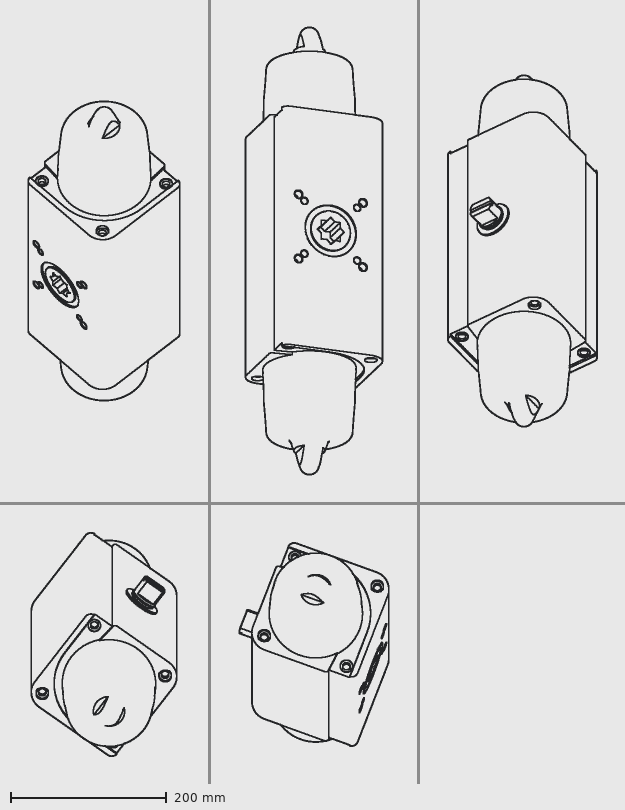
import cadquery as cq
import math


LENGTH = 613.0
BLOCK_HALF = 163.5
NEAR_FACE = 69.0
FAR_FACE = 78.5
LEDGE_FACE = 64.5
LEDGE_START = 41.5
LEDGE_WALL_REACH = 39.0
LEDGE_WALL_END = 45.0
LARGE_CORNER = 24.5
SMALL_CORNER = 8.5
LEDGE_ROUND = 3.5

RECESS_DEPTH = 3.5
RECESS_RADIUS = 70.5

SCREW_PITCH = 113.0
BLOCK_CENTRE = 5.0
SCREW_BORE = 16.0
SCREW_BORE_DEPTH = 5.0
SCREW_SOCKET = 10.0
SCREW_SOCKET_DEPTH = 12.0

CAP_ROOT_Z = 156.5
CAP_BASE_RADIUS = 60.0
CAP_MIDDLE_RADIUS = 59.0
CAP_SHOULDER_RADIUS = 56.0
CAP_FLAT_RADIUS = 48.5
CAP_MIDDLE_Z = 206.5
CAP_SHOULDER_Z = 248.0
CAP_TOP_Z = 255.5
FLARE_RADIUS = 35.0
TIP_FOOT_RADIUS = 24.0
TIP_FOOT_Z = 263.0
TIP_END_RADIUS = 11.5
TIP_END_Z = 298.5
TIP_FLAT_HALF = 13.0
TIP_FLAT_Z = 274.0

OUTER_HOLE_DIAMETER = 10.0
OUTER_HOLE_MOUTH = 11.5
OUTER_HOLE_OFFSET = 44.0
INNER_HOLE_DIAMETER = 8.5
INNER_HOLE_MOUTH = 10.0
INNER_HOLE_OFFSET = 36.0
MOUNT_HOLE_DEPTH = 15.5

SEAT_DIAMETER = 70.0
SEAT_DEPTH = 2.5
PINION_DIAMETER = 54.0
PINION_STEP_Y = 0.0
COLLAR_DIAMETER = 48.0
COLLAR_Y = 72.0
RING_DIAMETER = 35.0
RING_THICKNESS = 1.0
RING_Y = 76.0
STEM_DIAMETER = 32.5
FLATS_Y = 79.0
STEM_Y = 99.0
STEM_FLAT_HALF = 10.5
SLOT_WIDTH = 5.0
SLOT_DEPTH = 3.5
SOCKET_SIDE = 26.0
SOCKET_DEPTH = 37.0

LEDGE_WALL_SLOPE = (LEDGE_WALL_END - LEDGE_START) / (NEAR_FACE - LEDGE_WALL_REACH)
LEDGE_FOOT = LEDGE_START + (NEAR_FACE - LEDGE_FACE) * LEDGE_WALL_SLOPE

ROOT_HALF = math.sqrt(0.5)


def block():
    """Prism with two set-back ledges and all its long corners rounded."""
    prism = (
        cq.Workplane("XY", origin=(0, 0, -BLOCK_HALF))
        .moveTo(-NEAR_FACE, -LEDGE_START)
        .lineTo(-NEAR_FACE, NEAR_FACE)
        .lineTo(LEDGE_START, NEAR_FACE)
        .lineTo(LEDGE_FOOT, LEDGE_FACE)
        .lineTo(FAR_FACE, LEDGE_FACE)
        .lineTo(FAR_FACE, -FAR_FACE)
        .lineTo(-LEDGE_FACE, -FAR_FACE)
        .lineTo(-LEDGE_FACE, -LEDGE_FOOT)
        .close()
        .extrude(2 * BLOCK_HALF)
    )

    corners = [
        (-NEAR_FACE, NEAR_FACE, LARGE_CORNER),
        (FAR_FACE, -FAR_FACE, LARGE_CORNER),
        (FAR_FACE, LEDGE_FACE, SMALL_CORNER),
        (-LEDGE_FACE, -FAR_FACE, SMALL_CORNER),
        (LEDGE_START, NEAR_FACE, LEDGE_ROUND),
        (-NEAR_FACE, -LEDGE_START, LEDGE_ROUND),
    ]
    for x, y, radius in corners:
        nearest = cq.selectors.NearestToPointSelector((x, y, 0))
        prism = prism.edges("|Z").edges(nearest).fillet(radius)
    return prism


def end_recess():
    """Band around the +X, -Y side of the cartridge, open at both ledges."""
    arc = RECESS_RADIUS * ROOT_HALF
    return (
        cq.Workplane("XY", origin=(0, 0, BLOCK_HALF - RECESS_DEPTH))
        .moveTo(LEDGE_FOOT, LEDGE_FACE)
        .lineTo(RECESS_RADIUS, LEDGE_FACE)
        .lineTo(RECESS_RADIUS, 0)
        .threePointArc((arc, -arc), (0, -RECESS_RADIUS))
        .lineTo(-LEDGE_FACE, -RECESS_RADIUS)
        .lineTo(-LEDGE_FACE, -LEDGE_FOOT)
        .lineTo(-LEDGE_WALL_REACH, -LEDGE_WALL_END)
        .lineTo(LEDGE_WALL_END, LEDGE_WALL_REACH)
        .close()
        .extrude(RECESS_DEPTH)
    )


def end_screw_holes():
    def bores(diameter, depth):
        return (
            cq.Workplane("XY", origin=(BLOCK_CENTRE, -BLOCK_CENTRE, BLOCK_HALF))
            .rect(SCREW_PITCH, SCREW_PITCH, forConstruction=True)
            .vertices()
            .circle(diameter / 2)
            .extrude(-depth)
        )

    return bores(SCREW_BORE, SCREW_BORE_DEPTH).union(bores(SCREW_SOCKET, SCREW_SOCKET_DEPTH))


def cartridge():
    """Spring cap and its flatted, dome-ended tip at the +Z end."""
    cap_round = 1 - ROOT_HALF
    shoulder_mid = (
        CAP_SHOULDER_RADIUS - (CAP_SHOULDER_RADIUS - CAP_FLAT_RADIUS) * cap_round,
        CAP_TOP_Z - (CAP_TOP_Z - CAP_SHOULDER_Z) * cap_round,
    )

    tip_z = LENGTH / 2
    dome_height = tip_z - TIP_END_Z
    dome_radius = (TIP_END_RADIUS**2 + dome_height**2) / (2 * dome_height)
    half_angle = math.asin(TIP_END_RADIUS / dome_radius) / 2
    dome_mid = (
        dome_radius * math.sin(half_angle),
        tip_z - dome_radius * (1 - math.cos(half_angle)),
    )
    cone_slope = (TIP_END_RADIUS - TIP_FOOT_RADIUS, TIP_END_Z - TIP_FOOT_Z)
    body = (
        cq.Workplane("XZ")
        .moveTo(0, CAP_ROOT_Z)
        .lineTo(CAP_BASE_RADIUS, CAP_ROOT_Z)
        .lineTo(CAP_BASE_RADIUS, BLOCK_HALF)
        .lineTo(CAP_MIDDLE_RADIUS, CAP_MIDDLE_Z)
        .lineTo(CAP_SHOULDER_RADIUS, CAP_SHOULDER_Z)
        .threePointArc(shoulder_mid, (CAP_FLAT_RADIUS, CAP_TOP_Z))
        .lineTo(FLARE_RADIUS, CAP_TOP_Z)
        .spline([(TIP_FOOT_RADIUS, TIP_FOOT_Z)], tangents=[(-1, 0), cone_slope], includeCurrent=True)
        .lineTo(TIP_END_RADIUS, TIP_END_Z)
        .threePointArc(dome_mid, (0, tip_z))
        .close()
        .revolve(360, (0, 0, 0), (0, 1, 0))
    )
    for side in (-1, 1):
        flat = cq.Workplane("XY").box(
            TIP_FOOT_RADIUS, 2 * TIP_FOOT_RADIUS, tip_z - TIP_FLAT_Z, centered=(True, True, False)
        )
        body = body.cut(flat.translate((side * (TIP_FLAT_HALF + TIP_FOOT_RADIUS / 2), 0, TIP_FLAT_Z)))
    return body


def disc(diameter, y_from, y_to):
    """Cylinder on the pinion axis between two Y positions."""
    return (
        cq.Workplane("XZ", origin=(0, y_from, 0))
        .circle(diameter / 2)
        .extrude(y_from - y_to)
    )


def mounting_holes(diameter, mouth, offset):
    """Four chamfered blind holes on the corners of a square around the pinion."""
    chamfer = (mouth - diameter) / 2
    hole = (
        cq.Workplane("XY", origin=(0, -FAR_FACE, 0))
        .lineTo(mouth / 2, 0)
        .lineTo(diameter / 2, chamfer)
        .lineTo(diameter / 2, MOUNT_HOLE_DEPTH)
        .lineTo(0, MOUNT_HOLE_DEPTH)
        .close()
        .revolve(360, (0, 0, 0), (0, 1, 0))
    )
    return [hole.translate((x * offset, 0, z * offset)) for x in (-1, 1) for z in (-1, 1)]


def make_housing():
    housing = block()
    for cutter in (end_recess(), end_screw_holes()):
        housing = housing.cut(cutter).cut(cutter.mirror("XY"))
    cap = cartridge()
    housing = housing.union(cap).union(cap.mirror("XY"))

    outer_holes = mounting_holes(OUTER_HOLE_DIAMETER, OUTER_HOLE_MOUTH, OUTER_HOLE_OFFSET)
    inner_holes = mounting_holes(INNER_HOLE_DIAMETER, INNER_HOLE_MOUTH, INNER_HOLE_OFFSET)
    for hole in outer_holes + inner_holes:
        housing = housing.cut(hole)
    housing = housing.cut(disc(SEAT_DIAMETER, -FAR_FACE, -FAR_FACE + SEAT_DEPTH))
    housing = housing.cut(disc(PINION_DIAMETER, -FAR_FACE, PINION_STEP_Y))
    return housing.cut(disc(STEM_DIAMETER, PINION_STEP_Y, NEAR_FACE))


def make_pinion():
    pinion = disc(PINION_DIAMETER, -FAR_FACE, PINION_STEP_Y)
    pinion = pinion.union(disc(STEM_DIAMETER, PINION_STEP_Y, STEM_Y))
    pinion = pinion.union(disc(COLLAR_DIAMETER, NEAR_FACE, COLLAR_Y))
    pinion = pinion.union(disc(RING_DIAMETER, RING_Y - RING_THICKNESS, RING_Y))

    flats_length = STEM_Y - FLATS_Y
    for side in (-1, 1):
        flat = cq.Workplane("XY").box(STEM_DIAMETER, flats_length, STEM_DIAMETER)
        flat_z = side * (STEM_FLAT_HALF + STEM_DIAMETER / 2)
        pinion = pinion.cut(flat.translate((0, FLATS_Y + flats_length / 2, flat_z)))

    slot = cq.Workplane("XY").box(STEM_DIAMETER, SLOT_DEPTH, SLOT_WIDTH)
    pinion = pinion.cut(slot.translate((0, STEM_Y - SLOT_DEPTH / 2, 0)))

    for angle in (0, 45):
        socket = (
            cq.Workplane("XZ", origin=(0, -FAR_FACE, 0))
            .transformed(rotate=(0, 0, angle))
            .rect(SOCKET_SIDE, SOCKET_SIDE)
            .extrude(-SOCKET_DEPTH)
        )
        pinion = pinion.cut(socket)
    return pinion


housing = make_housing()
pinion = make_pinion()

result = cq.Compound.makeCompound([housing.val(), pinion.val()])